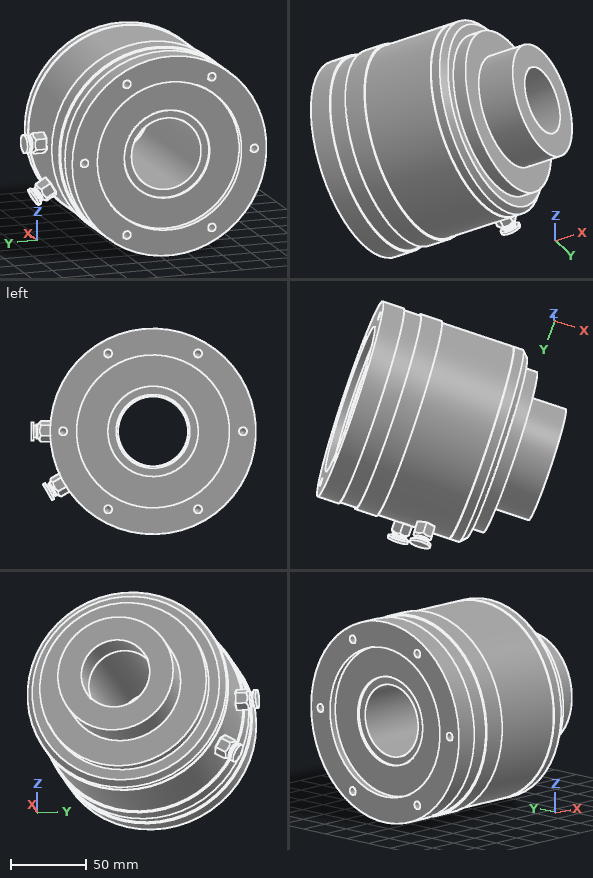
import cadquery as cq
import math


BAND_RADIUS = 68.5
BARREL_RADIUS = 67.4
FLANGE_RADIUS = 56.4
HUB_RADIUS = 39.0

BAND_WIDTH = 14.7
SECOND_BAND_START = 26.6
BARREL_END = 102.9
FLANGE_END = 112.3
HOUSING_LENGTH = 138.5
BARREL_CHAMFER = 4.0
GROOVE_START = 91.8
GROOVE_WIDTH = 0.3
GROOVE_DEPTH = 0.3

BORE_RADIUS = 24.5
BORE_END_RADIUS = 23.2
RECESS_RADIUS = 50.8
RECESS_DEPTH = 5.0
SEAT_RADIUS = 30.0
SEAT_DEPTH = 1.5

MOUNT_HOLE_COUNT = 6
MOUNT_CIRCLE_RADIUS = 59.8
MOUNT_HOLE_RADIUS = 2.7
MOUNT_HOLE_DEPTH = 12.0
DRILL_TIP_ANGLE = 118.0

HEX_SIDES = 6
FITTING_PLACES = [(61.0, 0.0), (73.0, -30.0)]
FITTING_SINK = 0.5
SHOULDER_BASE = 74.5
HEX_CORNER_RADIUS = 7.0
HEX_TURN = 4.5
COLLAR_BASE = 76.5
COLLAR_RADIUS = 4.8
COLLAR_TOP = 77.7
NECK_RADIUS = 4.0
BUTTON_BASE = 79.2
BUTTON_TOP = 81.0
BUTTON_HALF_LENGTH = 7.0
BUTTON_HALF_WIDTH = 6.1
HEX_BASE = BARREL_RADIUS - FITTING_SINK


def disc_along_x(start, end, radius):
    """Cylinder on the X axis between two X positions."""
    return cq.Workplane("YZ", origin=(start, 0, 0)).circle(radius).extrude(end - start)


def disc_along_y(start, end, radius):
    """Cylinder on the Y axis between two Y positions."""
    return cq.Workplane("XZ", origin=(0, start, 0)).circle(radius).extrude(start - end)


def make_mount_hole():
    """Drilled blind hole along X with a conical bottom, centred on the X axis."""
    tip_length = MOUNT_HOLE_RADIUS / math.tan(math.radians(DRILL_TIP_ANGLE / 2))
    return (
        cq.Workplane("XY")
        .polyline([
            (0, 0),
            (0, MOUNT_HOLE_RADIUS),
            (MOUNT_HOLE_DEPTH, MOUNT_HOLE_RADIUS),
            (MOUNT_HOLE_DEPTH + tip_length, 0),
        ])
        .close()
        .revolve(360, (0, 0, 0), (1, 0, 0))
    )


def make_hex():
    """Hexagonal prism along Y that forms the root of a fitting."""
    return (
        cq.Workplane("XZ")
        .polygon(HEX_SIDES, 2 * HEX_CORNER_RADIUS)
        .extrude(-(COLLAR_BASE - HEX_BASE))
        .rotate((0, 0, 0), (0, 1, 0), 180 / HEX_SIDES + HEX_TURN)
        .translate((0, HEX_BASE, 0))
    )


def make_fitting():
    """Fitting along +Y: hexagon, conical shoulder, collar, neck and oval release button."""
    turned_shoulder = (
        cq.Workplane("XY")
        .polyline([
            (0, HEX_BASE),
            (HEX_CORNER_RADIUS, HEX_BASE),
            (HEX_CORNER_RADIUS, SHOULDER_BASE),
            (COLLAR_RADIUS, COLLAR_BASE),
            (0, COLLAR_BASE),
        ])
        .close()
        .revolve(360, (0, 0, 0), (0, 1, 0))
    )
    root = make_hex().intersect(turned_shoulder)
    collar = disc_along_y(COLLAR_BASE, COLLAR_TOP, COLLAR_RADIUS)
    neck = disc_along_y(COLLAR_TOP, BUTTON_BASE, NECK_RADIUS)
    button = (
        cq.Workplane("XZ", origin=(0, BUTTON_BASE, 0))
        .ellipse(BUTTON_HALF_LENGTH, BUTTON_HALF_WIDTH)
        .extrude(-(BUTTON_TOP - BUTTON_BASE))
    )
    return root.union(collar).union(neck).union(button)


def place_fitting(fitting, position, angle):
    """Swing a fitting about the housing axis and slide it to its X position."""
    return fitting.rotate((0, 0, 0), (1, 0, 0), angle).translate((position, 0, 0))


def make_outer_body():
    """Chamfered barrel with two raised bands, rear flange, hub and a hairline groove."""
    body = disc_along_x(0, BARREL_END, BARREL_RADIUS).faces(">X").chamfer(BARREL_CHAMFER)
    body = body.union(disc_along_x(0, FLANGE_END, FLANGE_RADIUS))
    body = body.union(disc_along_x(0, HOUSING_LENGTH, HUB_RADIUS))
    for start in (0, SECOND_BAND_START):
        body = body.union(disc_along_x(start, start + BAND_WIDTH, BAND_RADIUS))

    groove_end = GROOVE_START + GROOVE_WIDTH
    groove = disc_along_x(GROOVE_START, groove_end, BARREL_RADIUS).cut(
        disc_along_x(GROOVE_START, groove_end, BARREL_RADIUS - GROOVE_DEPTH)
    )
    return body.cut(groove)


def make_housing(fittings):
    """Outer body with its stepped bore, mounting holes and a matching seat for each fitting."""
    housing = make_outer_body()
    housing = housing.cut(disc_along_x(0, RECESS_DEPTH, RECESS_RADIUS))
    housing = housing.cut(disc_along_x(0, RECESS_DEPTH + SEAT_DEPTH, SEAT_RADIUS))
    housing = housing.cut(disc_along_x(0, FLANGE_END, BORE_RADIUS))
    housing = housing.cut(disc_along_x(0, HOUSING_LENGTH, BORE_END_RADIUS))

    mount_hole = make_mount_hole().translate((0, MOUNT_CIRCLE_RADIUS, 0))
    for index in range(MOUNT_HOLE_COUNT):
        angle = index * 360 / MOUNT_HOLE_COUNT
        housing = housing.cut(mount_hole.rotate((0, 0, 0), (1, 0, 0), angle))

    for fitting in fittings:
        housing = housing.cut(fitting)
    return housing


fittings = [place_fitting(make_fitting(), position, angle) for position, angle in FITTING_PLACES]
housing = make_housing(fittings)

result = cq.Compound.makeCompound([housing.val(), *[fitting.val() for fitting in fittings]])